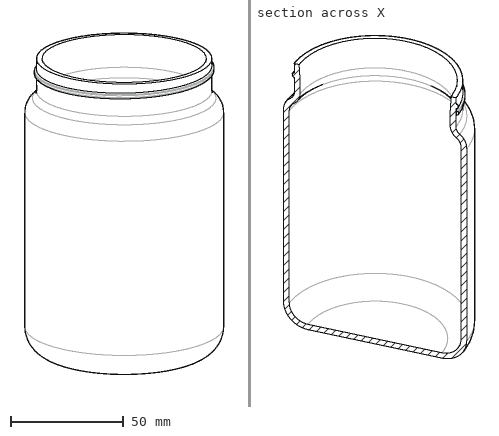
import cadquery as cq
import math

body_diameter = 88.5
jar_height = 136.5
neck_diameter = 78.0
neck_height = 15.0
shoulder_height = 10.0
wall = 3.0
base_fillet = 12.0
rim_inner_diameter = 73.0
shoulder_radius = 8.0

thread_diameter = 80.0
thread_pitch = 3.5
thread_base_width = 2.7
thread_crest_width = 1.4
thread_corner_radius = 0.5
thread_embed = 0.6
thread_start_depth = 7.95
thread_start_angle = 90.0

body_radius = body_diameter / 2
neck_radius = neck_diameter / 2
rim_inner_radius = rim_inner_diameter / 2
neck_root_z = jar_height - neck_height
shoulder_z = neck_root_z - shoulder_height

shoulder_step = body_radius - neck_radius
shoulder_angle = 2 * math.atan(shoulder_step / shoulder_height)
neck_root_radius = shoulder_height / math.sin(shoulder_angle) - shoulder_radius


def revolve_profile(inset, top_radius):
    """Solid of revolution bounded by the jar surface moved inward by inset, with its own radius at the rim."""
    side = body_radius - inset
    neck = neck_radius - inset
    corner = base_fillet - inset
    convex = shoulder_radius - inset
    concave = neck_root_radius + inset

    def convex_point(angle):
        return side - convex * (1 - math.cos(angle)), shoulder_z + convex * math.sin(angle)

    def concave_point(angle):
        return neck + concave * (1 - math.cos(angle)), neck_root_z - concave * math.sin(angle)

    diagonal = corner * math.sqrt(0.5)
    corner_mid = (side - corner + diagonal, base_fillet - diagonal)
    profile = (
        cq.Workplane("XZ")
        .moveTo(0, inset)
        .lineTo(side - corner, inset)
        .threePointArc(corner_mid, (side, base_fillet))
        .lineTo(side, shoulder_z)
        .threePointArc(convex_point(shoulder_angle / 2), convex_point(shoulder_angle))
        .threePointArc(concave_point(shoulder_angle / 2), (neck, neck_root_z))
        .lineTo(top_radius, jar_height)
        .lineTo(0, jar_height)
        .close()
    )
    return profile.revolve(360, (0, 0, 0), (0, 1, 0))


def thread_ridge():
    """Trapezoidal ridge with rounded crest corners, swept once around the neck."""
    thread_radius = thread_diameter / 2
    root_radius = neck_radius - thread_embed
    flank_slope = (thread_base_width - thread_crest_width) / (2 * (thread_radius - neck_radius))
    root_half = thread_base_width / 2 + flank_slope * thread_embed
    crest_half = thread_crest_width / 2
    corners = [
        (root_radius, -root_half),
        (thread_radius, -crest_half),
        (thread_radius, crest_half),
        (root_radius, root_half),
        (root_radius, -root_half),
    ]
    section = cq.Sketch().polygon(corners).vertices(">X").fillet(thread_corner_radius)
    helix = cq.Wire.makeHelix(thread_pitch, thread_pitch, neck_radius)
    ridge = cq.Workplane("XZ").placeSketch(section).sweep(cq.Workplane(obj=helix), isFrenet=True)
    start_z = jar_height - thread_start_depth
    return ridge.rotate((0, 0, 0), (0, 0, 1), thread_start_angle).translate((0, 0, start_z))


outside = revolve_profile(0, neck_radius)
cavity = revolve_profile(wall, rim_inner_radius)
result = outside.union(thread_ridge()).cut(cavity)